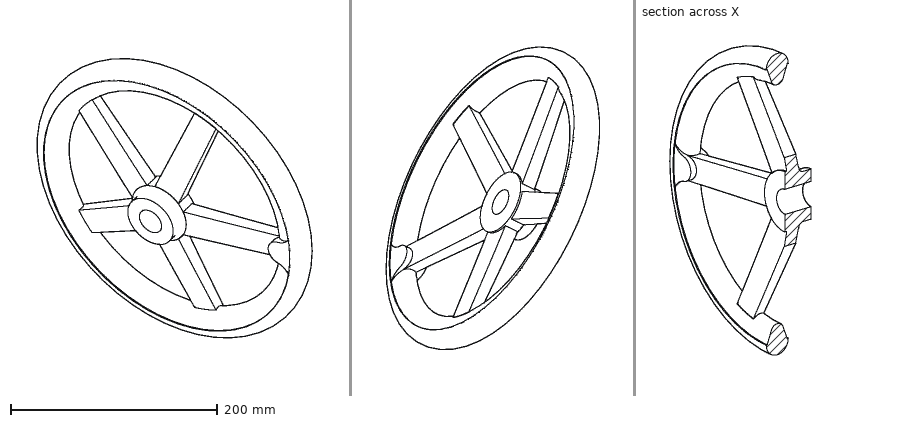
import cadquery as cq
import math


overall_depth = 56.0

rim_outer_radius = 157.5
rim_width = 28.0
rim_half_width = rim_width / 2
rim_center_radius = rim_outer_radius - rim_half_width
rim_step_depth = 1.3
rim_lip_radius = 130.5
rim_lip_y = 8.0
rim_inner_radius = 124.5

hub_radius = 26.5
hub_flare = 5.0
hub_root_radius = hub_radius + hub_flare
hub_front_y = rim_half_width - overall_depth
hub_root_y = -27.0
hub_back_y = -9.5
bore_radius = 13.0

spoke_count = 5
spoke_hub_width = 29.5
spoke_rim_width = 25.8
spoke_hub_depth = 15.8
spoke_rim_depth = 11.3
spoke_root_y = -26.8
spoke_slope = 0.24
spoke_end_radius = 129.0
spoke_start_radius = 19.0

pad_radius = 13.2
pad_center_x = 130.7
pad_flare_start = (128.2, 13.0)
pad_flare_middle = (135.5, 15.8)
pad_flare_end_z = 23.0
pad_front_y = -rim_half_width + rim_step_depth
pad_depth = rim_width - 2 * rim_step_depth


def revolve_about_y(profile):
    """Revolve a closed (radius, y) profile about the wheel axis."""
    return profile.close().revolve(360, (0, 0, 0), (0, 1, 0))


def make_rim():
    """Round outer rim with stepped conical bands and a rounded inner lip, alike front and back."""
    step_y = rim_half_width - rim_step_depth
    profile = (
        cq.Workplane("XY")
        .moveTo(rim_center_radius, -rim_half_width)
        .threePointArc((rim_outer_radius, 0), (rim_center_radius, rim_half_width))
        .lineTo(rim_center_radius, step_y)
        .lineTo(rim_lip_radius, rim_lip_y)
        .threePointArc((rim_inner_radius, 0), (rim_lip_radius, -rim_lip_y))
        .lineTo(rim_center_radius, -step_y)
    )
    return revolve_about_y(profile)


def make_hub():
    """Hub with a concave flare where its front neck meets the spokes."""
    neck_end_y = hub_root_y - hub_flare
    arc_offset = hub_flare * (1 - math.sqrt(0.5))
    profile = (
        cq.Workplane("XY")
        .moveTo(0, hub_front_y)
        .lineTo(hub_radius, hub_front_y)
        .lineTo(hub_radius, neck_end_y)
        .threePointArc(
            (hub_radius + arc_offset, hub_root_y - arc_offset),
            (hub_root_radius, hub_root_y),
        )
        .lineTo(hub_root_radius, hub_back_y)
        .lineTo(0, hub_back_y)
    )
    return revolve_about_y(profile)


def make_spokes():
    """Tapered spokes cut from a dished disc, so front and back are conical."""

    def front_y(radius):
        return spoke_root_y + spoke_slope * (radius - hub_root_radius)

    start_y = front_y(spoke_start_radius)
    end_y = front_y(spoke_end_radius)
    disc = revolve_about_y(
        cq.Workplane("XY")
        .moveTo(0, start_y)
        .lineTo(spoke_start_radius, start_y)
        .lineTo(spoke_end_radius, end_y)
        .lineTo(spoke_end_radius, end_y + spoke_rim_depth)
        .lineTo(spoke_start_radius, start_y + spoke_hub_depth)
        .lineTo(0, start_y + spoke_hub_depth)
    )
    blade = (
        cq.Workplane("XZ")
        .polyline([
            (0, -spoke_hub_width / 2),
            (rim_center_radius, -spoke_rim_width / 2),
            (rim_center_radius, spoke_rim_width / 2),
            (0, spoke_hub_width / 2),
        ])
        .close()
        .extrude(rim_outer_radius, both=True)
    )
    blades = blade
    for index in range(1, spoke_count):
        angle = index * 360 / spoke_count
        blades = blades.union(blade.rotate((0, 0, 0), (0, 1, 0), angle))
    return disc.intersect(blades)


def make_handle_pad():
    """Flat pad through the rim, rounded toward the hub and flaring out into the rim."""
    start_x, start_z = pad_flare_start
    middle_x, middle_z = pad_flare_middle
    end_z = pad_flare_end_z
    end_x = math.sqrt(rim_center_radius**2 - end_z**2)
    return (
        cq.Workplane("XZ", origin=(0, pad_front_y, 0))
        .moveTo(end_x, -end_z)
        .threePointArc((middle_x, -middle_z), (start_x, -start_z))
        .threePointArc((pad_center_x - pad_radius, 0), (start_x, start_z))
        .threePointArc((middle_x, middle_z), (end_x, end_z))
        .threePointArc((rim_center_radius, 0), (end_x, -end_z))
        .close()
        .extrude(-pad_depth)
    )


bore = cq.Workplane("XZ").circle(bore_radius).extrude(rim_outer_radius, both=True)

result = (
    make_rim()
    .union(make_spokes())
    .union(make_hub())
    .union(make_handle_pad())
    .cut(bore)
)